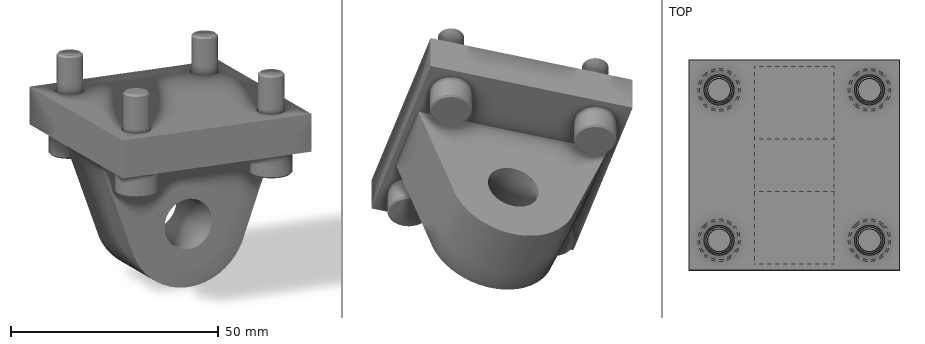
import cadquery as cq
import math

plate_side = 50.8
plate_thickness = 9.5
lug_width = 19.2
lug_top_length = 47.6
lug_radius = 15.85
side_end_drop = 4.3
lug_bore_diameter = 12.7
overall_height = 54.0

screw_spacing = 36.3
shank_diameter = 6.35
shank_projection = 9.5
shank_chamfer = 0.45
head_diameter = 10.25
head_height = 6.3
head_chamfer = 0.45
screw_hole_diameter = 7.25

bore_drop = overall_height - shank_projection - plate_thickness - lug_radius
screw_places = [
    (x_side * screw_spacing / 2, y_side * screw_spacing / 2)
    for x_side in (-1, 1)
    for y_side in (-1, 1)
]


def make_lug():
    """Lug with straight tapering sides and a rounded lower end, bored along X."""
    half_top = lug_top_length / 2
    side_end_y = math.sqrt(lug_radius**2 - side_end_drop**2)
    side_end_z = -bore_drop - side_end_drop

    outline = (
        cq.Workplane("YZ")
        .moveTo(-half_top, 0)
        .lineTo(-side_end_y, side_end_z)
        .threePointArc((0, -bore_drop - lug_radius), (side_end_y, side_end_z))
        .lineTo(half_top, 0)
        .close()
    )
    lug = outline.extrude(lug_width / 2, both=True)
    bore = (
        cq.Workplane("YZ")
        .center(0, -bore_drop)
        .circle(lug_bore_diameter / 2)
        .extrude(lug_width, both=True)
    )
    return lug.cut(bore)


def make_clevis():
    """Flange plate with clearance holes for the screws, joined to the lug."""
    plate = (
        cq.Workplane("XY")
        .rect(plate_side, plate_side)
        .extrude(plate_thickness)
        .faces(">Z")
        .workplane()
        .pushPoints(screw_places)
        .hole(screw_hole_diameter)
    )
    return plate.union(make_lug())


def make_screw(place):
    """Cylindrical-head screw pointing up, with its head against the plate."""
    head = (
        cq.Workplane("XY")
        .circle(head_diameter / 2)
        .extrude(-head_height)
        .faces("<Z")
        .chamfer(head_chamfer)
    )
    shank = (
        cq.Workplane("XY")
        .circle(shank_diameter / 2)
        .extrude(plate_thickness + shank_projection)
        .faces(">Z")
        .chamfer(shank_chamfer)
    )
    x, y = place
    return head.union(shank).translate((x, y, 0))


clevis = make_clevis()
screws = [make_screw(place) for place in screw_places]

result = cq.Compound.makeCompound([clevis.val(), *[screw.val() for screw in screws]])